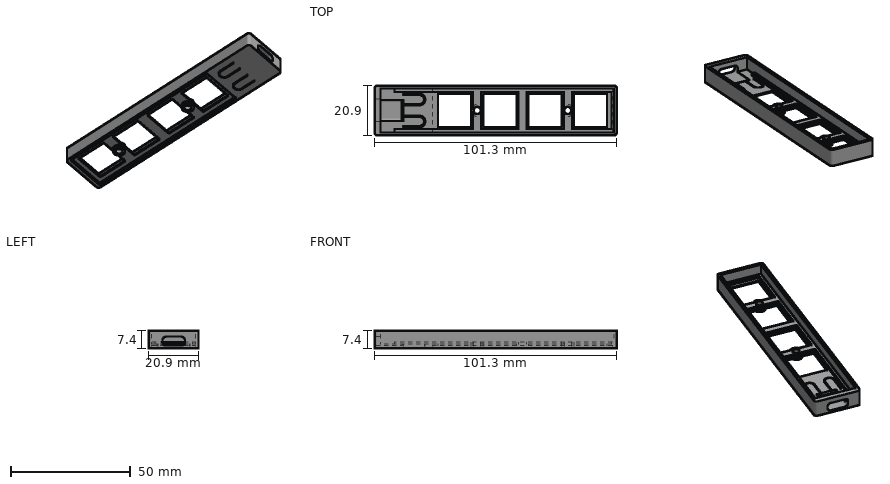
import cadquery as cq

length = 101.3
width = 20.9
height = 7.4
corner_radius = 1.2
side_wall = 1.2
connector_wall = 2.5
floor_z = 1.8
shelf_z = 2.7
shelf_start = 8.4

window_count = 4
window_size = 13.8
window_pitch = 18.9
first_window_x = 26.5
recess_margin = 0.9
end_recess_margin = 1.8
relief_z = 1.2
relief_margin = 2.3
recess_width = window_size + 2 * recess_margin

boss_ribs = (0, 2)
boss_diameter = 5.1
screw_hole_diameter = 2.9

connector_width = 9.4
connector_height = 3.7
connector_bottom_z = 1.1
connector_corner_radius = 1.5
trough_end_x = 12.1
trough_ramp = 0.8

button_start_x = trough_end_x
button_arc_x = 18.8
button_offset_y = 4.6
button_radius = 2.1
button_cut = 0.3


def block(x_start, x_end, y_size, z_start, z_end):
    """Box symmetric about the X axis."""
    box = cq.Workplane("XY").box(x_end - x_start, y_size, z_end - z_start, centered=(False, True, False))
    return box.translate((x_start, 0, z_start))


def make_tray():
    outer = block(0, length, width, 0, height).edges("|Z").fillet(corner_radius)
    inner_width = width - 2 * side_wall
    inner_end = length - side_wall
    upper_cavity = block(connector_wall, inner_end, inner_width, shelf_z, height)
    connector_bay = block(connector_wall, shelf_start, inner_width, floor_z, height)
    return outer.cut(upper_cavity).cut(connector_bay)


def cut_windows(body):
    for index in range(window_count):
        start = first_window_x + index * window_pitch
        end = start + window_size
        is_first = index == 0
        is_last = index == window_count - 1
        recess_start = connector_wall if is_first else start - recess_margin
        recess_end = end + (end_recess_margin if is_last else recess_margin)
        body = body.cut(block(recess_start, recess_end, recess_width, floor_z, shelf_z))
        body = body.cut(block(start, end, window_size, 0, floor_z))
    return body


def cut_underside_relief(body):
    last_window_end = first_window_x + (window_count - 1) * window_pitch + window_size
    relief = block(
        first_window_x - relief_margin,
        last_window_end + relief_margin,
        window_size + 2 * relief_margin,
        0,
        relief_z,
    )
    return body.cut(relief)


def add_screw_bosses(body):
    rib_gap = window_pitch - window_size
    first_rib_x = first_window_x + window_size + rib_gap / 2
    centers = [(first_rib_x + rib * window_pitch, 0) for rib in boss_ribs]
    bosses = cq.Workplane("XY").pushPoints(centers).circle(boss_diameter / 2).extrude(shelf_z)
    holes = cq.Workplane("XY").pushPoints(centers).circle(screw_hole_diameter / 2).extrude(shelf_z)
    return body.union(bosses).cut(holes)


def cut_connector_opening(body):
    opening = block(
        0, trough_end_x, connector_width, connector_bottom_z, connector_bottom_z + connector_height
    )
    opening = opening.edges("|X").fillet(connector_corner_radius)
    ramp = (
        cq.Workplane("XZ")
        .moveTo(trough_end_x - trough_ramp, connector_bottom_z)
        .lineTo(trough_end_x, connector_bottom_z)
        .lineTo(trough_end_x, floor_z)
        .close()
        .extrude(connector_width / 2, both=True)
    )
    return body.cut(opening.cut(ramp))


def button_blank(radius):
    """Tongue shape with a round tip, as thick as the floor."""
    return (
        cq.Workplane("XY")
        .moveTo(button_start_x, -radius)
        .lineTo(button_arc_x, -radius)
        .threePointArc((button_arc_x + radius, 0), (button_arc_x, radius))
        .lineTo(button_start_x, radius)
        .close()
        .extrude(floor_z)
    )


def cut_spring_buttons(body):
    outer = button_blank(button_radius + button_cut / 2)
    tongue = button_blank(button_radius - button_cut / 2)
    u_cut = outer.cut(tongue)
    for side in (-1, 1):
        body = body.cut(u_cut.translate((0, side * button_offset_y, 0)))
    return body


tray = make_tray()
tray = cut_windows(tray)
tray = cut_underside_relief(tray)
tray = add_screw_bosses(tray)
tray = cut_connector_opening(tray)
tray = cut_spring_buttons(tray)
result = tray.translate((-length / 2, 0, 0))